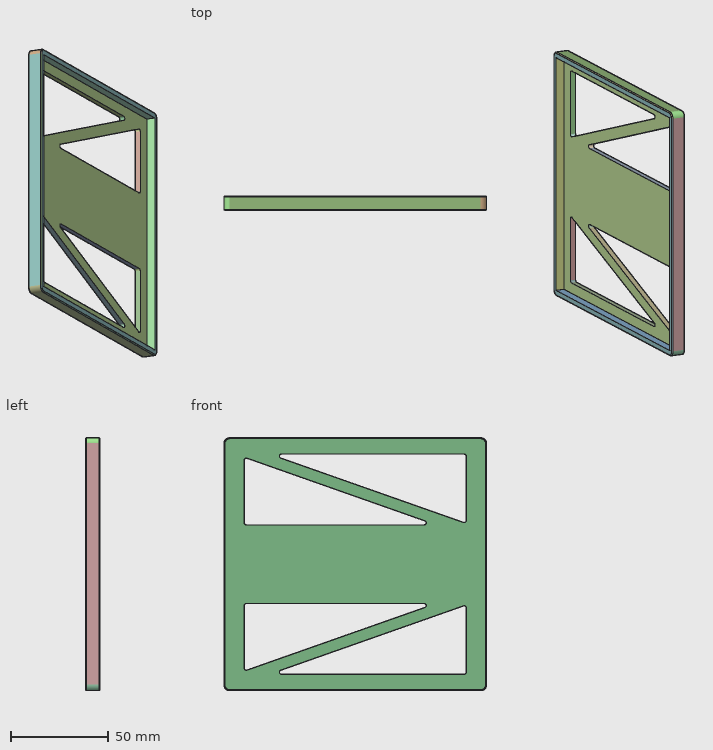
import cadquery as cq
import math

length = 135.0
thickness = 7.5
height = 130.0
corner_radius = 3.0
edge_chamfer = 0.5

wall = 3.0

side_border = 10.5
end_border = 8.5
center_band = 40.5

brace_angle = 19.4
brace_width = 6.0
brace_middle = 38.0

window_corner_radius = 1.0

window_side = length / 2 - side_border
window_outer = height / 2 - end_border
window_inner = center_band / 2
brace_slope = math.tan(math.radians(brace_angle))
brace_half_rise = brace_width / 2 / math.cos(math.radians(brace_angle))


def make_plate():
    """Rounded rectangular plate with chamfered rims on its front and back faces."""
    plate = cq.Workplane("XY").box(length, thickness, height)
    plate = plate.edges("|Y").fillet(corner_radius)
    return plate.faces("<Y or >Y").chamfer(edge_chamfer)


def make_pocket():
    """Rectangular cutter that hollows the plate from its back face."""
    pocket = cq.Workplane("XY").box(length - 2 * wall, thickness, height - 2 * wall)
    return pocket.translate((0, wall, 0))


def make_window(corner_x, corner_z, brace_edge):
    """Right-triangle cutter with its square corner at (corner_x, corner_z).

    The sloping side follows z = brace_edge - brace_slope * x.
    """
    points = [
        (corner_x, corner_z),
        (corner_x, brace_edge - brace_slope * corner_x),
        ((brace_edge - corner_z) / brace_slope, corner_z),
    ]
    cutter = cq.Workplane("XZ").polyline(points).close().extrude(thickness, both=True)
    return cutter.edges("|Y").fillet(window_corner_radius)


outer_window = make_window(window_side, window_outer, brace_middle + brace_half_rise)
inner_window = make_window(-window_side, window_inner, brace_middle - brace_half_rise)

result = make_plate().cut(make_pocket())
for window in (outer_window, inner_window):
    result = result.cut(window).cut(window.mirror("XY"))